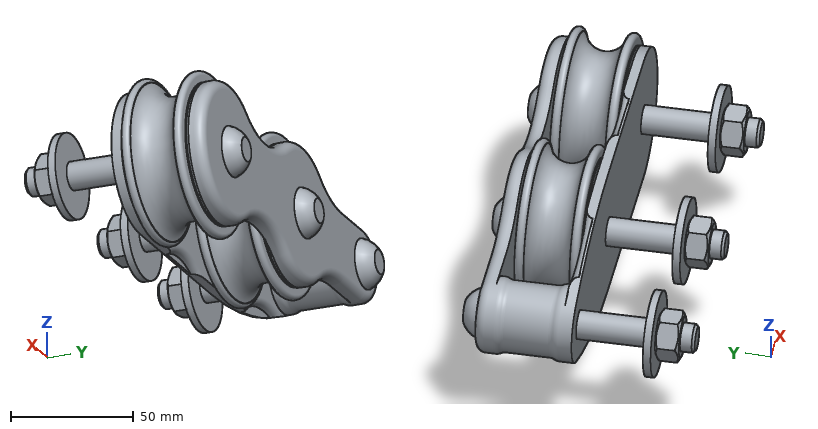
import cadquery as cq
import math


total_length = 191.7
total_depth = 96.6

washer_radius = 36.0 / 2
bolt_radius = 12.0 / 2
sleeve_radius = 30.0 / 2
collar_radius = 32.0 / 2
plate_end_radius = 60.0 / 2
roller_radius = 69.5 / 2

front_roller_x = 63.0
rear_roller_x = total_length - washer_radius - roller_radius
bolt_xs = (0.0, front_roller_x, rear_roller_x)
roller_xs = bolt_xs[1:]

front_plate_thickness = 4.5
plate_gap = 1.5
roller_width = 26.8
back_plate_thickness = 6.5
roller_start_y = front_plate_thickness + plate_gap
roller_end_y = roller_start_y + roller_width
roller_mid_y = roller_start_y + roller_width / 2
back_plate_y = roller_end_y + plate_gap
back_face_y = back_plate_y + back_plate_thickness

head_height = 6.5
head_base_radius = 10.7
head_top_radius = 5.2
head_bulge_radius = 8.5
head_bulge_height = 4.0
bolt_tip_chamfer = 1.2
head_top_y = back_face_y + head_height
bolt_tip_y = head_top_y - total_depth

washer_top_y = -30.1
washer_thickness = 3.3
nut_across_flats = 18.8
nut_height = 10.0
nut_face_radius = 8.6
nut_chamfer_angle = 30.0
nut_turns = (-5.0, 3.0, 3.0)
nut_top_y = washer_top_y - washer_thickness

groove_radius = 10.0
groove_width = 19.2
neck_radius = 25.9
side_disc_radius = 30.0
side_disc_height = 0.5
hub_radius = 23.2

collar_length = 1.5
collar_round_length = 2.3
collar_hollow_length = 1.7

back_edge_fillet = 4.0
back_flat_length = 21.5
waist_radius = 35.7

flank_radius = (front_roller_x**2 + plate_end_radius**2 - collar_radius**2) / (
    2 * (plate_end_radius - collar_radius)
)
flank_center_z = plate_end_radius - flank_radius

scallop_skin = 1.2
scallop_fillet = 3.0
scallop_slope = 26.0
scallop_run_out = 11.5
scallop_spans = ((6.0, 35.7), (88.8, 113.5))
roller_mid_x = (front_roller_x + rear_roller_x) / 2


def plate_sketch(y):
    """Sketch plane facing -Y at the given Y, with local axes X and Z."""
    return cq.Workplane("XZ", origin=(0, y, 0))


def turn(profile, x=0.0, z=0.0):
    """Revolve a closed (radius, Y) profile about a Y axis through (x, z)."""
    return profile.revolve(360, (0, 0, 0), (0, 1, 0)).translate((x, 0, z))


def disc(radius, y_low, y_high, x):
    return plate_sketch(y_high).center(x, 0).circle(radius).extrude(y_high - y_low)


def bolt(x):
    """Bolt with a flat-topped dome head on the back plate and a chamfered tip."""
    profile = (
        cq.Workplane("XY")
        .moveTo(0, bolt_tip_y)
        .lineTo(bolt_radius - bolt_tip_chamfer, bolt_tip_y)
        .lineTo(bolt_radius, bolt_tip_y + bolt_tip_chamfer)
        .lineTo(bolt_radius, back_face_y)
        .lineTo(head_base_radius, back_face_y)
        .threePointArc(
            (head_bulge_radius, back_face_y + head_bulge_height),
            (head_top_radius, head_top_y),
        )
        .lineTo(0, head_top_y)
        .close()
    )
    return turn(profile, x)


def nut(x, turn_angle):
    """Hexagon nut with both ends chamfered by a cone."""
    corner_radius = nut_across_flats / 2 / math.cos(math.radians(30))
    chamfer = (corner_radius - nut_face_radius) * math.tan(math.radians(nut_chamfer_angle))
    bottom_y = nut_top_y - nut_height
    hexagon = (
        plate_sketch(nut_top_y)
        .polygon(6, 2 * corner_radius)
        .extrude(nut_height)
        .rotate((0, 0, 0), (0, 1, 0), -turn_angle)
        .translate((x, 0, 0))
    )
    envelope = cq.Workplane("XY").polyline([
        (0, bottom_y),
        (nut_face_radius, bottom_y),
        (corner_radius, bottom_y + chamfer),
        (corner_radius, nut_top_y - chamfer),
        (nut_face_radius, nut_top_y),
        (0, nut_top_y),
    ]).close()
    return hexagon.intersect(turn(envelope, x))


def roller(x):
    """Grooved roller with full-round rims, side discs and hubs that reach both plates."""
    rim_radius = (roller_width - groove_width) / 4
    rim_center = roller_radius - rim_radius
    groove_start_y = roller_mid_y - groove_width / 2
    groove_end_y = roller_mid_y + groove_width / 2
    groove_depth = groove_radius - math.sqrt(groove_radius**2 - (groove_width / 2) ** 2)
    groove_edge = neck_radius + groove_depth
    profile = (
        cq.Workplane("XY")
        .moveTo(0, front_plate_thickness)
        .lineTo(hub_radius, front_plate_thickness)
        .lineTo(hub_radius, roller_start_y - side_disc_height)
        .lineTo(side_disc_radius, roller_start_y - side_disc_height)
        .lineTo(side_disc_radius, roller_start_y)
        .lineTo(rim_center, roller_start_y)
        .threePointArc((roller_radius, roller_start_y + rim_radius), (rim_center, groove_start_y))
        .lineTo(groove_edge, groove_start_y)
        .threePointArc((neck_radius, roller_mid_y), (groove_edge, groove_end_y))
        .lineTo(rim_center, groove_end_y)
        .threePointArc((roller_radius, roller_end_y - rim_radius), (rim_center, roller_end_y))
        .lineTo(side_disc_radius, roller_end_y)
        .lineTo(side_disc_radius, roller_end_y + side_disc_height)
        .lineTo(hub_radius, roller_end_y + side_disc_height)
        .lineTo(hub_radius, back_plate_y)
        .lineTo(0, back_plate_y)
        .close()
    )
    return turn(profile, x)


def sleeve():
    """Sleeve whose end collars blend into the barrel with a round and a hollow."""
    blend_length = collar_round_length + collar_hollow_length
    round_share = collar_round_length / blend_length
    turning_radius = collar_radius - (collar_radius - sleeve_radius) * round_share
    collar_y = front_plate_thickness + collar_length
    half = (
        cq.Workplane("XY")
        .moveTo(0, front_plate_thickness)
        .lineTo(collar_radius, front_plate_thickness)
        .lineTo(collar_radius, collar_y)
        .tangentArcPoint((turning_radius, collar_y + collar_round_length), relative=False)
        .tangentArcPoint((sleeve_radius, collar_y + blend_length), relative=False)
        .lineTo(sleeve_radius, roller_mid_y)
        .lineTo(0, roller_mid_y)
        .close()
    )
    front_half = turn(half)
    return front_half.union(front_half.mirror("XZ", (0, roller_mid_y, 0)))


def back_plate():
    """Plate that follows the sleeve and both rollers, waisted between them."""
    run = front_roller_x - back_flat_length
    neck_arc_radius = (run**2 + collar_radius**2 - plate_end_radius**2) / (
        2 * (plate_end_radius - collar_radius)
    )
    neck_span = neck_arc_radius + plate_end_radius
    neck_join_x = front_roller_x - run * plate_end_radius / neck_span
    neck_join_z = (collar_radius + neck_arc_radius) * plate_end_radius / neck_span
    neck_angle = math.asin(run / neck_span) / 2
    neck_mid_x = back_flat_length + neck_arc_radius * math.sin(neck_angle)
    neck_mid_z = collar_radius + neck_arc_radius * (1 - math.cos(neck_angle))

    half_spacing = roller_mid_x - front_roller_x
    waist_span = waist_radius + plate_end_radius
    waist_center_z = math.sqrt(waist_span**2 - half_spacing**2)
    waist_join_dx = half_spacing * plate_end_radius / waist_span
    waist_join_z = waist_center_z * plate_end_radius / waist_span
    waist_z = waist_center_z - waist_radius

    left_join_x = front_roller_x + waist_join_dx
    right_join_x = rear_roller_x - waist_join_dx
    outline = (
        plate_sketch(back_face_y)
        .moveTo(0, collar_radius)
        .lineTo(back_flat_length, collar_radius)
        .threePointArc((neck_mid_x, neck_mid_z), (neck_join_x, neck_join_z))
        .threePointArc((front_roller_x, plate_end_radius), (left_join_x, waist_join_z))
        .threePointArc((roller_mid_x, waist_z), (right_join_x, waist_join_z))
        .threePointArc((rear_roller_x + plate_end_radius, 0), (right_join_x, -waist_join_z))
        .threePointArc((roller_mid_x, -waist_z), (left_join_x, -waist_join_z))
        .threePointArc((front_roller_x, -plate_end_radius), (neck_join_x, -neck_join_z))
        .threePointArc((neck_mid_x, -neck_mid_z), (back_flat_length, -collar_radius))
        .lineTo(0, -collar_radius)
        .threePointArc((-collar_radius, 0), (0, collar_radius))
        .close()
    )
    plate = outline.extrude(back_plate_thickness)
    return plate.faces(">Y").edges().fillet(back_edge_fillet)


def front_edge_z(x):
    """Height of the front plate's upper edge between the sleeve and the rear roller."""
    if x >= front_roller_x:
        return plate_end_radius
    return flank_center_z + math.sqrt(flank_radius**2 - (front_roller_x - x) ** 2)


def front_outline():
    """Tapered outline of the front plate as a solid of full thickness."""
    join_scale = collar_radius / (flank_radius - collar_radius)
    join_x = -front_roller_x * join_scale
    join_z = -flank_center_z * join_scale
    flank_mid_x = (join_x + front_roller_x) / 2
    flank_mid_z = front_edge_z(flank_mid_x)
    return (
        plate_sketch(front_plate_thickness)
        .moveTo(join_x, join_z)
        .threePointArc((flank_mid_x, flank_mid_z), (front_roller_x, plate_end_radius))
        .lineTo(rear_roller_x, plate_end_radius)
        .threePointArc((rear_roller_x + plate_end_radius, 0), (rear_roller_x, -plate_end_radius))
        .lineTo(front_roller_x, -plate_end_radius)
        .threePointArc((flank_mid_x, -flank_mid_z), (join_x, -join_z))
        .threePointArc((-collar_radius, 0), (join_x, join_z))
        .close()
        .extrude(front_plate_thickness)
    )


def scallop(start_x, end_x):
    """Cutter with a hollow arc between two edge points and tangent run-outs above it."""
    start_z = front_edge_z(start_x)
    end_z = front_edge_z(end_x)
    chord = math.hypot(end_x - start_x, end_z - start_z)
    tilt = math.degrees(math.atan2(end_z - start_z, end_x - start_x))
    slope = math.radians(scallop_slope)
    half_chord = chord / 2
    depth = half_chord * math.tan(slope / 2)
    outer_x = half_chord + scallop_run_out * math.cos(slope)
    outer_z = scallop_run_out * math.sin(slope)
    top_z = outer_z + scallop_run_out
    return (
        plate_sketch(front_plate_thickness)
        .center((start_x + end_x) / 2, (start_z + end_z) / 2)
        .transformed(rotate=(0, 0, tilt))
        .moveTo(-outer_x, outer_z)
        .lineTo(-half_chord, 0)
        .threePointArc((0, -depth), (half_chord, 0))
        .lineTo(outer_x, outer_z)
        .lineTo(outer_x, top_z)
        .lineTo(-outer_x, top_z)
        .close()
        .extrude(front_plate_thickness - scallop_skin)
    )


def front_plate():
    """Tapered flat plate with rounded scallops on its inner side between the bolts."""
    margin = 28.8
    slab_width = total_length + 2 * margin
    slab_height = 2 * (plate_end_radius + margin)
    slab = (
        plate_sketch(front_plate_thickness)
        .center(total_length / 2, 0)
        .rect(slab_width, slab_height)
        .extrude(front_plate_thickness)
    )
    for start_x, end_x in scallop_spans:
        cutter = scallop(start_x, end_x)
        slab = slab.cut(cutter).cut(cutter.mirror("XY"))
    slab = slab.faces(">Y").edges("%CIRCLE").fillet(scallop_fillet)
    return front_outline().intersect(slab)


result = front_plate().union(back_plate()).union(sleeve())
for roller_x in roller_xs:
    result = result.union(roller(roller_x))
for bolt_x, nut_turn in zip(bolt_xs, nut_turns):
    washer = disc(washer_radius, nut_top_y, washer_top_y, bolt_x)
    result = result.union(bolt(bolt_x)).union(washer).union(nut(bolt_x, nut_turn))